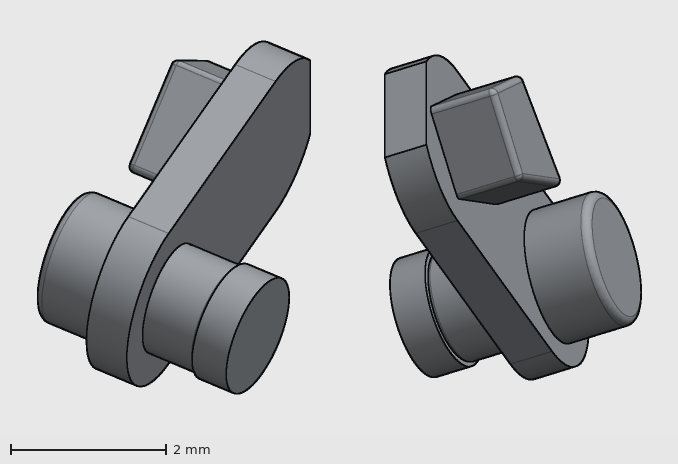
import cadquery as cq
import math

plate_radius = 1.1995
plate_thickness = 0.605
plate_slant = 3.7
far_arc_y = 3.055
far_flat_y = 5.25 - plate_radius

boss_height = 0.93
round_boss_radius = 0.89
round_boss_fillet = 0.105
diamond_tip_y = 3.955
diamond_middle_y = 3.04
diamond_tail_y = 1.67
diamond_half_height = 0.845
diamond_fillet = 0.085

shaft_radius = 0.75
shaft_end_x = 1.425
shaft_end_fillet = 0.04
collar_radius = 0.805
collar_length = 0.51


def slanted_slab(x_start, x_end):
    """Slab between two slanted planes that cross the shaft axis at x_start and x_end."""
    side_reach = 2 * far_flat_y
    shift = side_reach * math.tan(math.radians(plate_slant))
    return (
        cq.Workplane("XY")
        .polyline([
            (x_start + shift, -side_reach),
            (x_end + shift, -side_reach),
            (x_end - shift, side_reach),
            (x_start - shift, side_reach),
        ])
        .close()
        .extrude(plate_radius * 2, both=True)
    )


def prism_between(outline, x_start, x_end):
    """Extrude a YZ outline along X and trim it with two slanted planes."""
    overrun = far_flat_y
    prism = outline.extrude(x_end - x_start + 2 * overrun)
    prism = prism.translate((x_start - overrun, 0, 0))
    return prism.intersect(slanted_slab(x_start, x_end))


def make_plate():
    flat_half = math.sqrt(plate_radius**2 - (far_flat_y - far_arc_y) ** 2)
    arc_middle = (math.pi / 2 + math.atan2(flat_half, far_flat_y - far_arc_y)) / 2
    arc_y = far_arc_y + plate_radius * math.cos(arc_middle)
    arc_z = plate_radius * math.sin(arc_middle)
    outline = (
        cq.Workplane("YZ")
        .moveTo(0, plate_radius)
        .threePointArc((-plate_radius, 0), (0, -plate_radius))
        .lineTo(far_arc_y, -plate_radius)
        .threePointArc((arc_y, -arc_z), (far_flat_y, -flat_half))
        .lineTo(far_flat_y, flat_half)
        .threePointArc((arc_y, arc_z), (far_arc_y, plate_radius))
        .close()
    )
    return prism_between(outline, 0, plate_thickness)


def make_round_boss():
    outline = cq.Workplane("YZ").circle(round_boss_radius)
    boss = prism_between(outline, -boss_height, 0)
    return boss.faces("<X").edges().fillet(round_boss_fillet)


def make_diamond_boss():
    outline = (
        cq.Workplane("YZ")
        .polyline([
            (diamond_tip_y, 0),
            (diamond_middle_y, diamond_half_height),
            (diamond_tail_y, 0),
            (diamond_middle_y, -diamond_half_height),
        ])
        .close()
    )
    boss = prism_between(outline, -boss_height, 0)
    return boss.edges("|X").fillet(diamond_fillet).faces("<X").edges().fillet(diamond_fillet)


def make_shaft():
    """Shaft starting at the middle of the plate, with a rounded free end."""
    shaft_start_x = plate_thickness / 2
    return (
        cq.Workplane("YZ")
        .workplane(offset=shaft_start_x)
        .circle(shaft_radius)
        .extrude(shaft_end_x - shaft_start_x)
        .faces(">X")
        .edges()
        .fillet(shaft_end_fillet)
    )


def make_arm():
    return make_plate().union(make_round_boss()).union(make_diamond_boss()).union(make_shaft())


def make_collar():
    """Disc that sits against the free end of the shaft."""
    return (
        cq.Workplane("YZ")
        .workplane(offset=shaft_end_x)
        .circle(collar_radius)
        .extrude(collar_length)
    )


arm = make_arm()
collar = make_collar()
result = cq.Compound.makeCompound([arm.solids().val(), collar.val()])